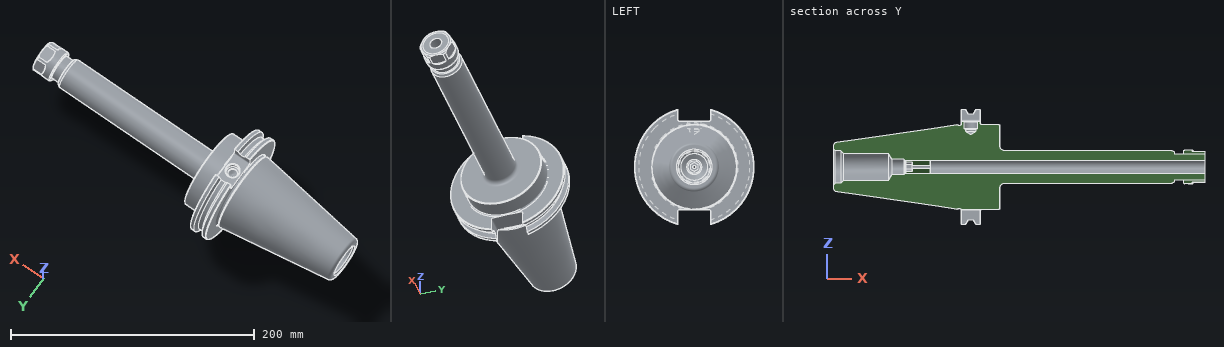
import cadquery as cq
import math


taper_length = 101.6
gauge_radius = 69.85 / 2
taper_slope = 7 / 48
rear_face = -taper_length
rear_radius = gauge_radius - taper_length * taper_slope
rear_edge_fillet = 2.8

relief_depth = 0.5
relief_start = 0.9
relief_radius = gauge_radius - relief_depth
relief_root_fillet = 0.9

flange_start = 3.175
flange_end = 19.05
flange_middle = (flange_start + flange_end) / 2
flange_radius = 98.425 / 2
flange_chamfer = 0.5
flange_root_fillet = 1.0
groove_depth = 3.6
groove_floor_half = 2.1
groove_flank_angle = math.radians(30)
groove_mouth_half = groove_floor_half + groove_depth * math.tan(groove_flank_angle)

slot_width = 26.78
slot_floor_fillet = 1.0
upper_slot_floor = 37.7
lower_slot_floor = 35.3
slot_start = flange_start
slot_end = flange_end + flange_root_fillet
slot_height = flange_radius

slot_hole_mouth_radius = 12.4 / 2
slot_hole_radius = 10.97 / 2
slot_hole_step_depth = 6.0
slot_drill_radius = 8.0 / 2
slot_drill_depth = 8.5
half_drill_point = math.radians(118 / 2)

collar_end = 35.0
collar_radius = 70.0 / 2
collar_chamfer = 0.6
shank_radius = 27.43 / 2
shank_root_fillet = 4.0
shank_end = 178.6
shank_chamfer_length = 2.4
shank_chamfer_depth = 1.3
nose_radius = 22.0 / 2

nut_start = 185.7
nut_end = 203.5
nut_radius = 28.0 / 2
nut_rear_chamfer_length = 0.9
nut_rear_chamfer_depth = 0.6
flat_count = 6
flat_distance = 25.4 / 2
flat_start = 193.0
flat_end_radius = 16.0
nut_front_chamfer = 1.2

bore_mouth_radius = 29.2 / 2
counterbore_radius = 26.36 / 2
counterbore_depth = 6.0
pull_stud_bore_radius = 21.95 / 2
pull_stud_bore_depth = 45.0
screw_entry_radius = 12.4 / 2
screw_entry_length = 10.0
coolant_bore_radius = 10.13 / 2

screw_length = 20.0
screw_recess = 1.0
screw_socket_width = 6.35
screw_socket_depth = 5.0
screw_hole_radius = 2.29 / 2


def drill_cone_length(large_radius, small_radius):
    return (large_radius - small_radius) / math.tan(half_drill_point)


mouth_cone_end = rear_face + bore_mouth_radius - counterbore_radius
counterbore_end = rear_face + counterbore_depth
counterbore_cone_end = counterbore_end + counterbore_radius - pull_stud_bore_radius
pull_stud_bore_end = rear_face + pull_stud_bore_depth
screw_entry_start = pull_stud_bore_end + drill_cone_length(pull_stud_bore_radius, screw_entry_radius)
screw_entry_end = screw_entry_start + screw_entry_length
coolant_bore_start = screw_entry_end + drill_cone_length(screw_entry_radius, coolant_bore_radius)
screw_start = coolant_bore_start + screw_recess


def revolve_about_x(profile):
    """Close a profile drawn as (x, radius) and turn it about the X axis."""
    return profile.close().revolve(360, (0, 0, 0), (1, 0, 0))


def cylinder_along_x(start, radius, length):
    return cq.Workplane("YZ").workplane(offset=start).circle(radius).extrude(length)


def make_holder_blank():
    groove_floor_radius = flange_radius - groove_depth
    profile = (
        cq.Workplane("XY")
        .moveTo(rear_face, 0)
        .lineTo(rear_face, rear_radius)
        .lineTo(0, gauge_radius)
        .lineTo(relief_start, relief_radius)
        .lineTo(flange_start - relief_root_fillet, relief_radius)
        .radiusArc((flange_start, relief_radius + relief_root_fillet), -relief_root_fillet)
        .lineTo(flange_start, flange_radius - flange_chamfer)
        .lineTo(flange_start + flange_chamfer, flange_radius)
        .lineTo(flange_middle - groove_mouth_half, flange_radius)
        .lineTo(flange_middle - groove_floor_half, groove_floor_radius)
        .lineTo(flange_middle + groove_floor_half, groove_floor_radius)
        .lineTo(flange_middle + groove_mouth_half, flange_radius)
        .lineTo(flange_end - flange_chamfer, flange_radius)
        .lineTo(flange_end, flange_radius - flange_chamfer)
        .lineTo(flange_end, collar_radius + flange_root_fillet)
        .radiusArc((flange_end + flange_root_fillet, collar_radius), -flange_root_fillet)
        .lineTo(collar_end - collar_chamfer, collar_radius)
        .lineTo(collar_end, collar_radius - collar_chamfer)
        .lineTo(collar_end, shank_radius + shank_root_fillet)
        .radiusArc((collar_end + shank_root_fillet, shank_radius), -shank_root_fillet)
        .lineTo(shank_end - shank_chamfer_length, shank_radius)
        .lineTo(shank_end, shank_radius - shank_chamfer_depth)
        .lineTo(shank_end, nose_radius)
        .lineTo(nut_end, nose_radius)
        .lineTo(nut_end, 0)
    )
    return revolve_about_x(profile).faces("<X").edges().fillet(rear_edge_fillet)


def make_bore():
    profile = (
        cq.Workplane("XY")
        .moveTo(rear_face, 0)
        .lineTo(rear_face, bore_mouth_radius)
        .lineTo(mouth_cone_end, counterbore_radius)
        .lineTo(counterbore_end, counterbore_radius)
        .lineTo(counterbore_cone_end, pull_stud_bore_radius)
        .lineTo(pull_stud_bore_end, pull_stud_bore_radius)
        .lineTo(screw_entry_start, screw_entry_radius)
        .lineTo(screw_entry_end, screw_entry_radius)
        .lineTo(coolant_bore_start, coolant_bore_radius)
        .lineTo(nut_end, coolant_bore_radius)
        .lineTo(nut_end, 0)
    )
    return revolve_about_x(profile)


def make_slot(floor_height):
    """Slot cutter on the +Z side with rounded corners along its floor."""
    return (
        cq.Workplane("XY")
        .box(slot_end - slot_start, slot_width, slot_height, centered=(False, True, False))
        .edges("|X and <Z")
        .fillet(slot_floor_fillet)
        .translate((slot_start, 0, floor_height))
    )


def make_slot_hole():
    mouth_chamfer = slot_hole_mouth_radius - slot_hole_radius
    step_cone = drill_cone_length(slot_hole_radius, slot_drill_radius)
    drill_point = drill_cone_length(slot_drill_radius, 0)
    return (
        cq.Workplane("XZ")
        .lineTo(slot_hole_mouth_radius, 0)
        .lineTo(slot_hole_radius, -mouth_chamfer)
        .lineTo(slot_hole_radius, -slot_hole_step_depth)
        .lineTo(slot_drill_radius, -slot_hole_step_depth - step_cone)
        .lineTo(slot_drill_radius, -slot_drill_depth)
        .lineTo(0, -slot_drill_depth - drill_point)
        .close()
        .revolve(360, (0, 0, 0), (0, 1, 0))
        .translate((flange_middle, 0, upper_slot_floor))
    )


def make_holder():
    upper_slot = make_slot(upper_slot_floor)
    lower_slot = make_slot(lower_slot_floor).rotate((0, 0, 0), (1, 0, 0), 180)
    blank = make_holder_blank()
    return blank.cut(make_bore()).cut(upper_slot).cut(lower_slot).cut(make_slot_hole())


def make_flat_cutter():
    """Cutter for the flat facing +Z; its rear end is an arc in the plane of the flat."""
    arc_center = flat_start + flat_end_radius
    return (
        cq.Workplane("XY")
        .workplane(offset=flat_distance)
        .moveTo(arc_center, flat_end_radius)
        .threePointArc((flat_start, 0), (arc_center, -flat_end_radius))
        .close()
        .extrude(nut_radius)
    )


def make_nut():
    profile = (
        cq.Workplane("XY")
        .moveTo(nut_start, nose_radius)
        .lineTo(nut_start, nut_radius - nut_rear_chamfer_depth)
        .lineTo(nut_start + nut_rear_chamfer_length, nut_radius)
        .lineTo(nut_end - nut_front_chamfer, nut_radius)
        .lineTo(nut_end, flat_distance)
        .lineTo(nut_end, nose_radius)
    )
    nut = revolve_about_x(profile)
    for index in range(flat_count):
        turn = index * 360 / flat_count
        nut = nut.cut(make_flat_cutter().rotate((0, 0, 0), (1, 0, 0), turn))
    return nut


def make_stop_screw():
    body = cylinder_along_x(screw_start, coolant_bore_radius, screw_length)
    hole = cylinder_along_x(screw_start, screw_hole_radius, screw_length)
    corner_diameter = screw_socket_width / math.cos(math.pi / 6)
    socket = (
        cq.Workplane("YZ")
        .workplane(offset=screw_start)
        .transformed(rotate=(0, 0, 90))
        .polygon(6, corner_diameter)
        .extrude(screw_socket_depth)
    )
    return body.cut(socket).cut(hole)


holder = make_holder()
nut = make_nut()
stop_screw = make_stop_screw()

result = cq.Compound.makeCompound([holder.val(), nut.val(), stop_screw.val()])